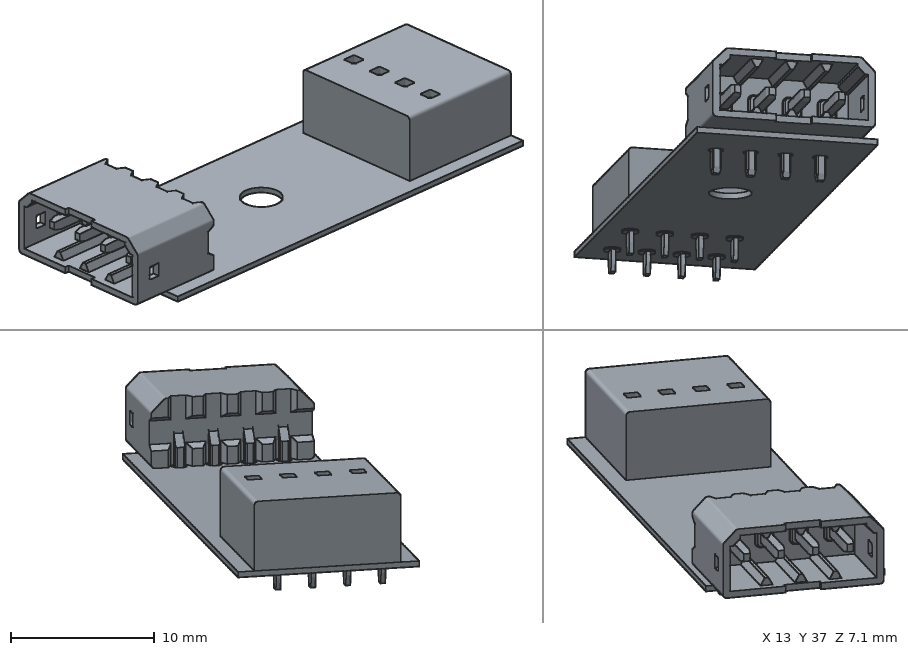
import cadquery as cq

body_height = 5.0
tail_depth = 1.7
columns = 4
column_span = 7.5
column_pitch = column_span / (columns - 1)

board_width = 13.0
board_length = 34.0
board_thickness = 0.4
assembly_length = 37.0
board_front = assembly_length - board_length
center_hole_dia = 3.0
center_hole_x = -0.22
center_hole_y = 17.95
header_hole_dia = 1.05

header_x = -0.3
header_width = 11.7
header_length = 7.5
header_chamfer = 1.0
header_edge_radius = 0.3
side_wall = 0.5
flat_wall = 0.48
cavity_depth = 5.48
corner_block_size = 0.75
corner_block_chamfer = 0.5
front_notch_width = 2.6
front_notch_depth = 0.35
rib_base_width = 0.9
rib_top_width = 0.25
rib_height = 0.55
rib_front = 0.6
boss_width = 1.35
boss_height = 1.55
boss_length = 0.35
boss_chamfer = 0.1
boss_corner_radius = 0.37
rear_notch_depth = 0.55
rear_notch_flare = 0.35
column_notch_width = 1.07
side_notch_height = 1.7
window_length = 0.9
window_height = 1.0
window_y = 1.63
window_z = 2.1
window_radius = 0.15

pin_width = 0.65
arm_height = 0.78
arm_z = 2.45
arm_front = 1.2
arm_tip_length = 0.55
leg_y = 7.2
leg_rear = leg_y + pin_width / 2
leg_top = 1.4
leg_tip_length = 0.45
leg_edge_chamfer = 0.1
pin_taper = 0.1
bend_length = 0.95

block_x = 0.07
block_width = 10.5
block_length = 10.0
block_edge_radius = 0.3
pocket_size = 1.0
pocket_depth = 0.6
pocket_corner_radius = 0.1
pocket_from_rear = 6.48
tail_center_x = -0.75
tail_from_rear = 2.78
tail_row_spacing = 5.0
tail_thickness = 0.35
tail_width = 0.8
tail_end_width = 0.6
tail_taper_length = 0.78
collar_dia = 1.2
collar_thickness = 0.1

board_bottom = -board_thickness
tail_bottom = board_bottom - tail_depth
header_top_z = body_height - flat_wall
header_columns = [header_x + (i - (columns - 1) / 2) * column_pitch for i in range(columns)]
rib_columns = [x + column_pitch / 2 for x in header_columns[:-1]]
tail_rows = [assembly_length - tail_from_rear - row * tail_row_spacing for row in range(2)]
tail_points = [
    (tail_center_x + (i - (columns - 1) / 2) * column_pitch, y) for i in range(columns) for y in tail_rows
]


def box(width, length, height, x, y, z):
    """Box centred on x, starting at y and z."""
    return cq.Workplane("XY").box(width, length, height, centered=(True, False, False)).translate((x, y, z))


def extruded_back(points, start_y, length):
    """Closed XZ outline extruded from start_y towards +Y."""
    return cq.Workplane("XZ", origin=(0, start_y, 0)).polyline(points).close().extrude(-length)


def make_leg_envelope():
    """Square bar around a pin leg that narrows evenly towards its lower end."""
    tip_width = pin_width - 2 * pin_taper
    taper = (
        cq.Workplane("XY", origin=(0, leg_y, tail_bottom))
        .rect(tip_width, tip_width)
        .workplane(offset=leg_tip_length)
        .rect(pin_width, pin_width)
        .loft()
    )
    return taper.faces(">Z").workplane().rect(pin_width, pin_width).extrude(leg_top - tail_bottom)


def make_pin(x):
    """Right-angle contact: a pointed arm inside the header and a leg through the board."""
    arm_bottom = arm_z - arm_height / 2
    arm_top = arm_z + arm_height / 2
    leg_front = leg_rear - pin_width
    shank_front = arm_front + arm_tip_length
    bend_outline = [
        (shank_front, arm_bottom),
        (shank_front, arm_top),
        (leg_rear - bend_length, arm_top),
        (leg_rear, leg_top),
        (leg_front, leg_top),
        (leg_front, arm_bottom),
    ]
    bend = cq.Workplane("YZ").polyline(bend_outline).close().extrude(pin_width / 2, both=True)
    arm_tip = (
        cq.Workplane("XZ", origin=(0, shank_front, arm_z))
        .rect(pin_width, arm_height)
        .workplane(offset=arm_tip_length)
        .rect(pin_width - 2 * pin_taper, arm_height - 2 * pin_taper)
        .loft()
    )
    leg = box(pin_width, pin_width, leg_top - tail_bottom, 0, leg_front, tail_bottom)
    leg = leg.edges("|Z").chamfer(leg_edge_chamfer)
    leg = leg.intersect(make_leg_envelope())
    return bend.union(arm_tip).union(leg).translate((x, 0, 0))


def make_cavity():
    """Front opening with stepped, chamfered upper corners."""
    half = header_width / 2 - side_wall
    inner = half - corner_block_size
    shoulder = header_top_z - corner_block_size
    cut = corner_block_chamfer
    right_side = [
        (half, flat_wall),
        (half, shoulder),
        (inner + cut, shoulder),
        (inner, shoulder + cut),
        (inner, header_top_z),
    ]
    left_side = [(-x, z) for x, z in reversed(right_side)]
    return extruded_back(right_side + left_side, 0, cavity_depth).translate((header_x, 0, 0))


def make_ribs():
    """Tapered ribs on the cavity floor and ceiling, between the columns."""
    ribs = cq.Workplane("XY")
    for x in rib_columns:
        for base_z, tip_z in ((flat_wall, flat_wall + rib_height), (header_top_z, header_top_z - rib_height)):
            outline = [
                (x - rib_base_width / 2, base_z),
                (x + rib_base_width / 2, base_z),
                (x + rib_top_width / 2, tip_z),
                (x - rib_top_width / 2, tip_z),
            ]
            ribs = ribs.union(extruded_back(outline, rib_front, cavity_depth - rib_front))
    return ribs


def notch_outline(center, bottom_width):
    """Trapezoid that opens towards the header rear, as (position, y) points."""
    bottom = bottom_width / 2
    mouth = bottom + rear_notch_flare
    bottom_y = header_length - rear_notch_depth
    return [
        (center - mouth, header_length),
        (center - bottom, bottom_y),
        (center + bottom, bottom_y),
        (center + mouth, header_length),
    ]


def make_rear_notches():
    """One upright notch behind each column and one cross notch at arm height."""
    side_points = [(y, z) for z, y in notch_outline(arm_z, side_notch_height)]
    notches = cq.Workplane("YZ").polyline(side_points).close().extrude(board_width, both=True)
    for x in header_columns:
        upright = cq.Workplane("XY").polyline(notch_outline(x, column_notch_width)).close()
        notches = notches.union(upright.extrude(body_height))
    return notches


def make_boss(x):
    """Rounded pad on the cavity rear wall around one pin."""
    boss = box(boss_width, boss_length, boss_height, x, cavity_depth - boss_length, arm_z - boss_height / 2)
    boss = boss.edges("|Y").fillet(boss_corner_radius)
    return boss.faces("<Y").chamfer(boss_chamfer)


def make_header(pins):
    """Housing open to the front, with close-fitting passages for the pins."""
    header = box(header_width, header_length, body_height, header_x, 0, 0)
    header = header.edges("|Y and >Z").chamfer(header_chamfer).edges("|Y").fillet(header_edge_radius)
    header = header.cut(make_cavity()).union(make_ribs())
    for x in header_columns:
        header = header.union(make_boss(x))
    header = header.cut(box(front_notch_width, front_notch_depth, body_height, header_x, 0, 0))
    header = header.cut(make_rear_notches())
    windows = box(header_width, window_length, window_height, header_x,
                  window_y - window_length / 2, window_z - window_height / 2)
    header = header.cut(windows.edges("|X and <Y").fillet(window_radius))
    for pin in pins:
        header = header.cut(pin)
    return header


def make_block():
    """Terminal block with its test pockets and two rows of solder tails."""
    front = assembly_length - block_length
    block = box(block_width, block_length, body_height, block_x, front, 0)
    block = block.edges("|Y and >Z").fillet(block_edge_radius)
    for i in range(columns):
        x = block_x + (i - (columns - 1) / 2) * column_pitch
        y = assembly_length - pocket_from_rear - pocket_size / 2
        pocket = box(pocket_size, pocket_size, pocket_depth, x, y, body_height - pocket_depth)
        block = block.cut(pocket.edges("|Z").fillet(pocket_corner_radius))
    for x, y in tail_points:
        block = block.union(make_tail(x, y))
    return block


def make_tail(x, y):
    """Flat solder tail with a tapered end and a round collar under the board."""
    taper_z = tail_bottom + tail_taper_length
    outline = [
        (y - tail_width / 2, 0),
        (y + tail_width / 2, 0),
        (y + tail_width / 2, taper_z),
        (y + tail_end_width / 2, tail_bottom),
        (y - tail_end_width / 2, tail_bottom),
        (y - tail_width / 2, taper_z),
    ]
    tail = cq.Workplane("YZ", origin=(x, 0, 0)).polyline(outline).close().extrude(tail_thickness / 2, both=True)
    collar = cq.Workplane("XY", origin=(x, y, board_bottom)).circle(collar_dia / 2).extrude(-collar_thickness)
    return tail.union(collar)


def make_board():
    """Board with a centre hole, round header holes and slots for the block tails."""
    board = box(board_width, board_length, board_thickness, 0, board_front, board_bottom)
    below = cq.Workplane("XY", origin=(0, 0, board_bottom))
    board = board.cut(below.center(center_hole_x, center_hole_y).circle(center_hole_dia / 2).extrude(board_thickness))
    header_points = [(x, leg_y) for x in header_columns]
    board = board.cut(below.pushPoints(header_points).circle(header_hole_dia / 2).extrude(board_thickness))
    return board.cut(below.pushPoints(tail_points).rect(tail_thickness, tail_width).extrude(board_thickness))


pins = [make_pin(x) for x in header_columns]
header = make_header(pins)
block = make_block()
board = make_board()

result = cq.Compound.makeCompound([board.val(), header.val(), block.val(), *[pin.val() for pin in pins]])